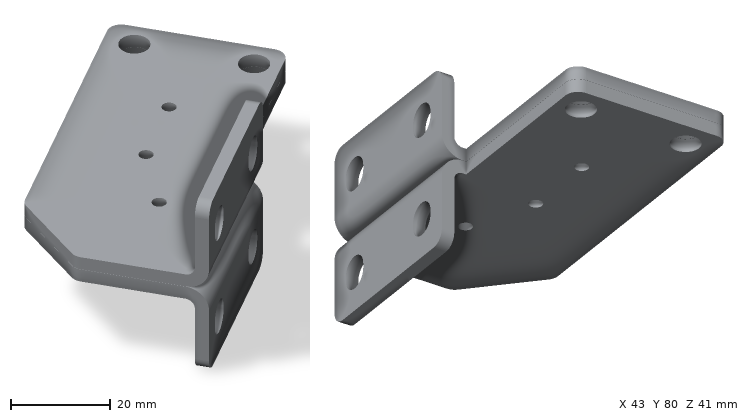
import cadquery as cq


pair_thickness = 6.0
gap = 0.04
sheet = (pair_thickness - gap) / 2
inner_bend = 2.0
outer_bend = inner_bend + sheet
corner_radius = sheet

width = 43.0
length = 80.0
plate_width = 37.2
flange_length = 40.0
end_chamfer = 15.0
bend_start = width - outer_bend

total_height = 41.0
flange_height = (total_height - gap) / 2

mount_diameter = 6.5
mount_pitch = 25.0
mount_left = 6.6
mount_end_distance = 6.0
pin_diameter = 3.0
pin_line = 19.2
pin_positions = [(pin_line, 55.0), (pin_line, 37.8), (26.2, 22.6)]
slot_length = 7.5
slot_middle = flange_length / 2
slot_height = 11.5


def make_plate():
    """Flat leg with rounded outer corners and a chamfered near corner."""
    plate = (
        cq.Workplane("XY")
        .moveTo(end_chamfer, 0)
        .lineTo(bend_start, 0)
        .lineTo(bend_start, flange_length)
        .lineTo(plate_width, flange_length)
        .lineTo(plate_width, length)
        .lineTo(0, length)
        .lineTo(0, end_chamfer)
        .close()
        .extrude(sheet)
    )
    rounded_corners = [(end_chamfer, 0), (0, end_chamfer), (0, length), (plate_width, length)]
    for x, y in rounded_corners:
        corner_edge = cq.selectors.NearestToPointSelector((x, y, sheet / 2))
        plate = plate.edges(corner_edge).fillet(corner_radius)
    return plate


def make_bent_flange():
    """Quarter-round bend running into the upright flange."""
    flange_inner = width - sheet
    flange = (
        cq.Workplane("XZ")
        .moveTo(bend_start, 0)
        .radiusArc((width, outer_bend), -outer_bend)
        .lineTo(width, flange_height)
        .lineTo(flange_inner, flange_height)
        .lineTo(flange_inner, outer_bend)
        .radiusArc((bend_start, sheet), inner_bend)
        .close()
        .extrude(-flange_length)
    )
    return flange.faces(">Z").edges("|X").fillet(corner_radius)


def plate_holes():
    """Cutters for the two mounting holes and the three pin holes."""
    mount_y = length - mount_end_distance
    mount_positions = [(mount_left, mount_y), (mount_left + mount_pitch, mount_y)]
    mounts = cq.Workplane("XY").pushPoints(mount_positions).circle(mount_diameter / 2).extrude(sheet)
    pins = cq.Workplane("XY").pushPoints(pin_positions).circle(pin_diameter / 2).extrude(sheet)
    return mounts.union(pins)


def flange_slots():
    """Cutters for the two upright slots."""
    positions = [(slot_middle + side * mount_pitch / 2, slot_height) for side in (-1, 1)]
    return (
        cq.Workplane("YZ", origin=(width - sheet, 0, 0))
        .pushPoints(positions)
        .slot2D(slot_length, mount_diameter, 90)
        .extrude(sheet)
    )


def make_bracket():
    """Upper bracket, raised by half the gap."""
    blank = make_plate().union(make_bent_flange())
    bracket = blank.cut(plate_holes()).cut(flange_slots())
    return bracket.translate((0, 0, gap / 2))


upper_bracket = make_bracket()
lower_bracket = upper_bracket.mirror("XY")

result = cq.Compound.makeCompound([upper_bracket.val(), lower_bracket.val()])